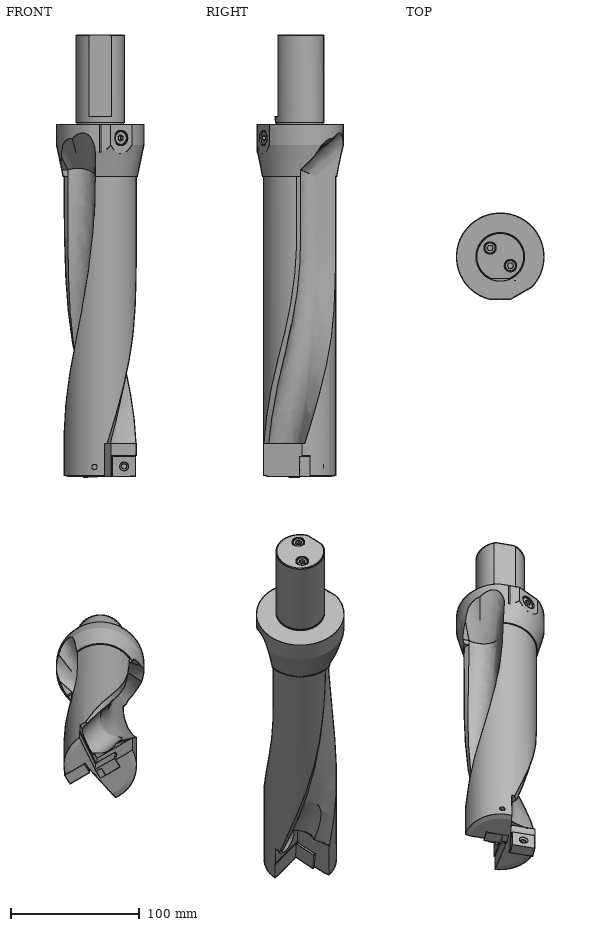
import cadquery as cq
import math

total_height = 343.5
flange_top = 274.2
flange_bottom = 258.0
cone_bottom = 233.5
body_bottom = 0.7

shank_radius = 19.0
shank_chamfer = 0.7
undercut_radius = 18.2
undercut_height = 1.5
flange_radius = 34.0
cone_end_radius = 29.0
body_radius = 28.2
nose_chamfer_width = 4.0
nose_chamfer_height = 1.0

shank_flat_distance = 17.0
shank_flat_bottom = 280.0
marked_flat_distance = 33.0
marked_flat_angle = -90.0
plug_flat_distance = 32.5
plug_flat_angle = -60.0
mark_width = 1.0
mark_depth = 0.5
mark_bottom = 252.5

wall_offset = 3.8
gullet_radius = 13.7
gullet_x = -wall_offset - gullet_radius
gullet_y = -12.5
lip_x = -25.0
flare_slope = 1.1
flute_reach = 36.0

flute_sections = 12
inner_flute_start = 34.0
inner_twist = 78.0
inner_easing_start = 89.5
inner_easing_end = cone_bottom
outer_flute_start = 26.5
outer_twist = 74.0
outer_easing_start = 96.2
outer_easing_end = 185.5

runout_angle = 41.0
runout_turns = (0.0, 26.0)
runout_length = 48.0
runout_overlap = 17.2

chip_face = 1.7
outer_chip_wall = (8.2, 3.0)
inner_chip_wall = (-4.8, -1.7)
inner_chip_wall_step = 0.7

gullet_end = cq.Vector(-6.0, 13.0, 31.5)
gullet_end_top = cq.Vector(-20.0, 8.0, 68.7)

insert_width = 18.0
insert_height = 15.5
insert_thickness = 8.2
insert_hole_radius = 2.0
insert_sink_radius = 3.5
insert_sink_angle = 90.0
outer_insert_x = 18.5
outer_insert_z = 8.5
inner_insert_x = -4.5
inner_insert_tilt = 3.0
outer_screw_hole_depth = 10.3
inner_screw_hole_depth = body_radius

pocket_top = 17.2
outer_pocket_wall = 8.5

plug_length = 10.3
plug_recess = 0.7
top_plug_radius = 4.8
top_plug_x = 8.0
top_plug_y = -7.0
side_plug_radius = 6.0
side_plug_z = 263.5
socket_diameter = 4.8
socket_depth = 4.0
plug_chamfer = 0.85

half_turn = 180.0


def half_turned(shape):
    return shape.rotate((0, 0, 0), (0, 0, 1), half_turn)


def turned_blank():
    outline = [
        (0, body_bottom),
        (body_radius - nose_chamfer_width, body_bottom),
        (body_radius, body_bottom + nose_chamfer_height),
        (body_radius, cone_bottom),
        (cone_end_radius, cone_bottom),
        (flange_radius, flange_bottom),
        (flange_radius, flange_top),
        (undercut_radius, flange_top),
        (undercut_radius, flange_top + undercut_height),
        (shank_radius, flange_top + undercut_height),
        (shank_radius, total_height - shank_chamfer),
        (shank_radius - shank_chamfer, total_height),
        (0, total_height),
    ]
    return cq.Workplane("XZ").polyline(outline).close().revolve(360, (0, 0), (0, 1))


def outside_flat(distance, angle, bottom, top):
    """Block covering everything farther than distance from the axis, facing the given angle."""
    size = 2 * flange_radius
    block = cq.Workplane("XY").box(size, size, top - bottom, centered=(False, True, False))
    return block.translate((distance, 0, bottom)).rotate((0, 0, 0), (0, 0, 1), angle)


def flange_mark():
    height = flange_top - mark_bottom
    mark = cq.Workplane("XY").box(mark_width, 2 * mark_depth, height, centered=(True, True, False))
    return mark.translate((0, -marked_flat_distance, mark_bottom))


def flute_wire(height, twist, edge_slope=flare_slope):
    """Flute section at a height: straight wall, round gullet up to a lip, and flared edge."""
    lip_y = gullet_y + math.sqrt(gullet_radius**2 - (lip_x - gullet_x) ** 2)
    section = (
        cq.Workplane("XY")
        .moveTo(-wall_offset, -flute_reach)
        .lineTo(-wall_offset, gullet_y)
        .threePointArc((gullet_x, gullet_y + gullet_radius), (lip_x, lip_y))
        .lineTo(-flute_reach, lip_y + edge_slope * (flute_reach + lip_x))
        .lineTo(-flute_reach, -flute_reach)
        .close()
    )
    return section.val().rotate(cq.Vector(), cq.Vector(0, 0, 1), twist).translate(cq.Vector(0, 0, height))


def flute_twist(height, total_twist, start, easing_start, easing_end):
    """Angle of the flute section at a height, relative to the section at the cone."""
    easing_length = easing_end - easing_start
    rate = total_twist / (easing_start - start + easing_length / 2)
    left = max(easing_end - height, 0)
    if left < easing_length:
        return -rate * left**2 / (2 * easing_length)
    return -rate * (left - easing_length / 2)


def helical_flute(total_twist, start, easing_start, easing_end):
    step = (cone_bottom - start) / flute_sections
    heights = [start + step * i for i in range(flute_sections + 1)]
    wires = [flute_wire(z, flute_twist(z, total_twist, start, easing_start, easing_end)) for z in heights]
    return cq.Workplane(cq.Solid.makeLoft(wires))


def flute_runout():
    """Bend of the flute at the cone: a mitred section run down into the flute and fanned outward."""
    incline = math.radians(runout_angle)
    mitre_slope = math.tan((math.pi / 2 - incline) / 2)
    shear = cq.Matrix([[1, 0, 0, 0], [0, 1, 0, 0], [0, mitre_slope, 1, cone_bottom - mitre_slope * gullet_y]])
    mitre = flute_wire(0, 0, edge_slope=0).transformGeometry(shear)
    paths = [cq.Vector(0, 0, -runout_overlap)]
    for turn in runout_turns:
        heading = math.radians(turn)
        across = math.cos(incline)
        outward = cq.Vector(-across * math.sin(heading), -across * math.cos(heading), math.sin(incline))
        paths.append(outward * runout_length)
    span = 4 * flute_reach
    above_cone = cq.Workplane("XY").box(span, span, total_height, centered=(True, True, False))
    above_cone = above_cone.translate((0, 0, cone_bottom))
    return [cq.Workplane(cq.Solid.extrudeLinear(mitre, [], path)).intersect(above_cone) for path in paths]


def gullet_end_cut():
    axis = gullet_end_top - gullet_end
    ball = cq.Workplane("XY").sphere(gullet_radius).translate(gullet_end)
    return ball.union(cq.Workplane(cq.Solid.makeCylinder(gullet_radius, axis.Length, gullet_end, axis)))


def chip_space(wall, height):
    """Open corner in front of an insert; wall gives its X at the cutting face and at the rim."""
    wall_inner, wall_outer = wall
    outline = [
        (wall_inner, chip_face),
        (wall_outer, -body_radius),
        (wall_outer, -flute_reach),
        (flute_reach, -flute_reach),
        (flute_reach, chip_face),
    ]
    return cq.Workplane("XY").polyline(outline).close().extrude(height)


def outer_pocket():
    """Pocket behind the outer insert, open to the rim and wider than the insert toward the axis."""
    width = flute_reach - outer_pocket_wall
    pocket = cq.Workplane("XY").box(width, insert_thickness, pocket_top, centered=False)
    return pocket.translate((outer_pocket_wall, 0, 0))


def insert_block():
    """Insert outline with its cutting face on the XZ plane, facing -Y."""
    block = cq.Workplane("XY").box(insert_width, insert_thickness, insert_height)
    return block.translate((0, insert_thickness / 2, 0))


def outer_insert_plate():
    plate = insert_block()
    face = plate.faces("<Y").workplane(origin=(0, 0, 0))
    return face.cskHole(2 * insert_hole_radius, 2 * insert_sink_radius, insert_sink_angle)


def place_outer(shape):
    return shape.translate((outer_insert_x, 0, outer_insert_z))


def place_inner(shape):
    tilt = math.radians(inner_insert_tilt)
    center_z = (insert_height * math.cos(tilt) + insert_width * math.sin(tilt)) / 2
    turned = half_turned(shape).rotate((0, 0, 0), (0, 1, 0), -inner_insert_tilt)
    return turned.translate((inner_insert_x, 0, center_z))


def screw_hole(depth):
    hole = cq.Workplane("XZ").circle(insert_hole_radius).extrude(-depth)
    return hole.translate((0, insert_thickness, 0))


def plug(radius):
    """Plug with its outer face on the XY plane and a hexagon socket."""
    blank = cq.Workplane("XY").circle(radius).extrude(-plug_length).faces(">Z").chamfer(plug_chamfer)
    return blank.faces(">Z").workplane().polygon(6, socket_diameter).cutBlind(-socket_depth)


def plug_hole(radius):
    hole = cq.Workplane("XY").circle(radius).extrude(plug_recess + plug_length)
    return hole.translate((0, 0, -plug_length))


def place_side(shape):
    upright = shape.rotate((0, 0, 0), (0, 1, 0), 90)
    out = upright.translate((plug_flat_distance - plug_recess, 0, side_plug_z))
    return out.rotate((0, 0, 0), (0, 0, 1), plug_flat_angle)


def place_top(shape, side):
    return shape.translate((side * top_plug_x, side * top_plug_y, total_height - plug_recess))


def drill_body():
    body = turned_blank()
    body = body.cut(outside_flat(shank_flat_distance, marked_flat_angle, shank_flat_bottom, total_height))
    body = body.cut(outside_flat(marked_flat_distance, marked_flat_angle, cone_bottom, flange_top))
    body = body.cut(outside_flat(plug_flat_distance, plug_flat_angle, cone_bottom, flange_top))
    body = body.cut(flange_mark())

    inner_flute = helical_flute(inner_twist, inner_flute_start, inner_easing_start, inner_easing_end)
    outer_flute = helical_flute(outer_twist, outer_flute_start, outer_easing_start, outer_easing_end)
    body = body.cut(inner_flute).cut(half_turned(outer_flute))
    for cut in flute_runout():
        body = body.cut(cut).cut(half_turned(cut))
    body = body.cut(gullet_end_cut())

    upper_wall = [x + inner_chip_wall_step for x in inner_chip_wall]
    body = body.cut(half_turned(chip_space(inner_chip_wall, pocket_top)))
    body = body.cut(half_turned(chip_space(upper_wall, inner_flute_start)))
    body = body.cut(chip_space(outer_chip_wall, outer_flute_start))

    body = body.cut(outer_pocket()).cut(place_inner(insert_block()))
    body = body.cut(place_outer(screw_hole(outer_screw_hole_depth)))
    body = body.cut(place_inner(screw_hole(inner_screw_hole_depth)))
    body = body.cut(place_side(plug_hole(side_plug_radius)))
    for side in (1, -1):
        body = body.cut(place_top(plug_hole(top_plug_radius), side))
    return body


body = drill_body()
outer_insert = place_outer(outer_insert_plate())
inner_insert = place_inner(insert_block())
side_plug = place_side(plug(side_plug_radius))
top_plugs = [place_top(plug(top_plug_radius), side) for side in (1, -1)]

result = cq.Compound.makeCompound(
    [body.val(), outer_insert.val(), inner_insert.val(), side_plug.val(), *[item.val() for item in top_plugs]]
)